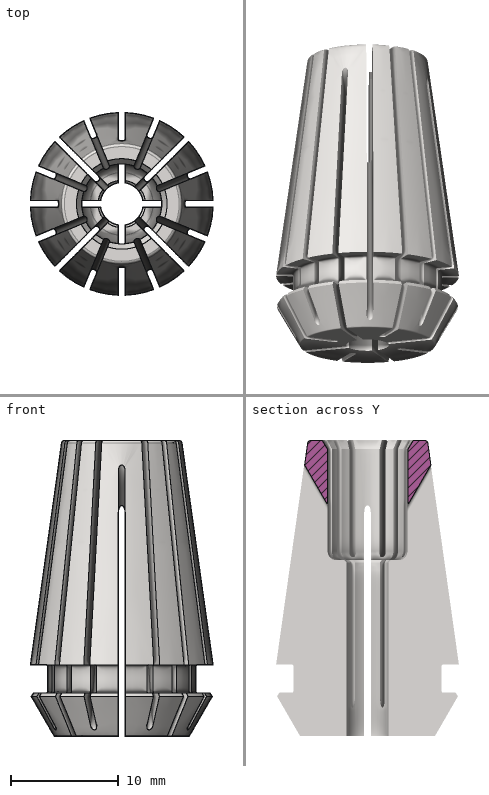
import cadquery as cq
import math

length = 27.5
max_radius = 8.5
taper_angle = 8.0

groove_bottom = 4.05
groove_top = 6.65
groove_radius = 6.9
groove_fillet = 0.15
flange_radius = 8.42
flange_chamfer_width = 0.22
flange_chamfer_height = 0.33
nose_angle = 30.0
top_fillet = 0.28
bottom_fillet = 0.16

large_bore_radius = 3.7
small_bore_radius = 1.98
ledge_height = 16.35
ledge_fillet = 0.8
small_bore_chamfer = 0.22
mouth_chamfer_width = 0.5
mouth_chamfer_height = 0.82

slot_width = 0.6
slot_pitch = 360 / 16
top_closed_slope = 60.0
top_closed_height = 25.22
nose_closed_slope = 79.0
nose_closed_height = 0.6
through_slope = 68.0
through_foot_radius = 3.05


def taper_radius(height):
    return max_radius - (height - groove_top) * math.tan(math.radians(taper_angle))


flange_edge = groove_bottom - flange_chamfer_height


def nose_radius(height):
    return flange_radius - (flange_edge - height) * math.tan(math.radians(nose_angle))


def make_body():
    profile = [
        (small_bore_radius, 0),
        (nose_radius(0), 0),
        (flange_radius, flange_edge),
        (flange_radius - flange_chamfer_width, groove_bottom),
        (groove_radius, groove_bottom),
        (groove_radius, groove_top),
        (max_radius, groove_top),
        (taper_radius(length), length),
        (large_bore_radius + mouth_chamfer_width, length),
        (large_bore_radius, length - mouth_chamfer_height),
        (large_bore_radius, ledge_height),
        (small_bore_radius + small_bore_chamfer, ledge_height),
        (small_bore_radius, ledge_height - small_bore_chamfer),
    ]
    body = cq.Workplane("XZ").polyline(profile).close().revolve(360, (0, 0), (0, 1))

    def circle_at(radius, height):
        """The circular edge of the current body with this radius at this height."""
        margin = 0.003
        low = (-radius - margin, -radius - margin, height - margin)
        high = (radius + margin, radius + margin, height + margin)
        rings = body.edges(cq.selectors.BoxSelector(low, high, boundingbox=True)).edges("%CIRCLE")
        return rings.edges(cq.selectors.RadiusNthSelector(-1))

    body = circle_at(taper_radius(length), length).fillet(top_fillet)
    body = circle_at(nose_radius(0), 0).fillet(bottom_fillet)
    body = circle_at(groove_radius, groove_top).fillet(groove_fillet)
    body = circle_at(groove_radius, groove_bottom).fillet(groove_fillet)
    body = circle_at(large_bore_radius, ledge_height).fillet(ledge_fillet)
    return body


def make_slot(end_radius, end_height, slope, direction, angle):
    """One radial slot along the given angle.

    The rim of its end slopes through (end_radius, end_height);
    direction is +1 for a slot open upwards, -1 for one open downwards.
    """
    reach = max_radius + slot_width
    steepness = math.tan(math.radians(slope))
    round_shift = slot_width / 2 / math.cos(math.radians(slope))

    def axis_height(radius):
        return end_height + direction * (round_shift + (end_radius - radius) * steepness)

    inner = (0, axis_height(0))
    outer = (reach, axis_height(reach))
    open_shift = 2 * length * direction
    blade = (
        cq.Workplane("XZ")
        .polyline([inner, outer, (reach, outer[1] + open_shift), (0, inner[1] + open_shift)])
        .close()
        .extrude(slot_width / 2, both=True)
    )
    run = cq.Vector(outer[0] - inner[0], 0, outer[1] - inner[1])
    round_end = cq.Solid.makeCylinder(slot_width / 2, run.Length, cq.Vector(inner[0], 0, inner[1]), run)
    return blade.union(cq.Workplane(round_end)).rotate((0, 0, 0), (0, 0, 1), angle)


result = make_body()

for quarter_start in range(0, 360, 90):
    result = result.cut(
        make_slot(
            taper_radius(top_closed_height), top_closed_height, top_closed_slope, -1, quarter_start
        )
    )
    result = result.cut(
        make_slot(through_foot_radius, 0, through_slope, 1, quarter_start + 2 * slot_pitch)
    )
    for pitches in (1, 3):
        result = result.cut(
            make_slot(
                nose_radius(nose_closed_height),
                nose_closed_height,
                nose_closed_slope,
                1,
                quarter_start + pitches * slot_pitch,
            )
        )